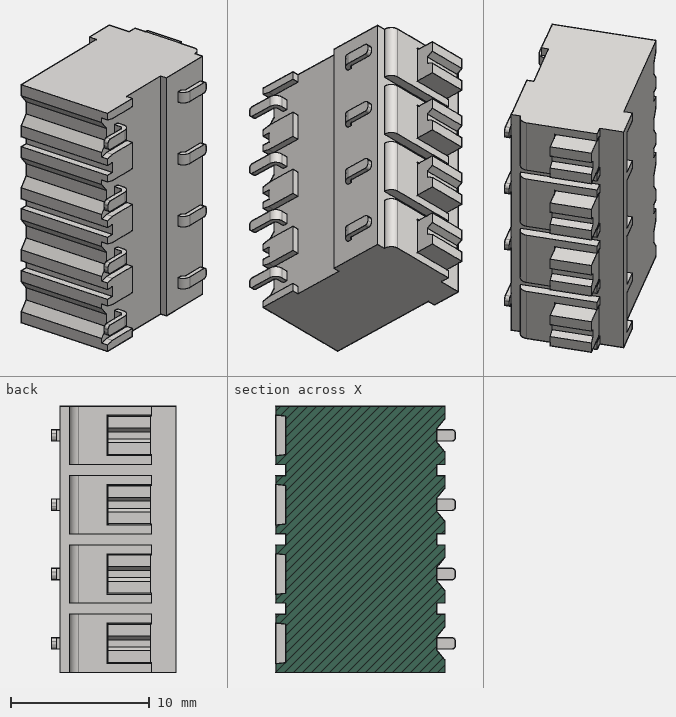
import cadquery as cq

height = 19.2
pole_count = 4
pole_height = 4.2
pole_pitch = (height - pole_height) / (pole_count - 1)
pole_gap = pole_pitch - pole_height
pole_centers = [pole_height / 2 + i * pole_pitch for i in range(pole_count)]
gap_centers = [(i + 1) * pole_pitch - pole_gap / 2 for i in range(pole_count - 1)]

wall_x = 0.63
right_x = 8.4
back_y = 11.5

recess_x = 7.87
recess_start_y = 3.01
recess_end_y = 7.12

ledge_depth = 1.0
rib_depth = 2.42
rib_height = 0.71

rail_start_x = 1.79
rail_end_x = 7.68
rail_top_y = 12.21
rail_corner_radius = 0.63
rail_opening_base = 2.76
rail_opening_top = 2.92

button_start_x = 1.85
button_end_x = 4.92
button_clearance = 0.05
button_height = 2.73
button_top_y = 13.63
notch_depth = 0.5
notch_floor_height = 0.52
notch_mouth_height = 1.05

groove_depth = 0.6
groove_floor_height = 0.98
groove_mouth_height = 2.42

opening_height = 2.88
opening_mouth_height = 3.15

pin_outer_x = 9.0
pin_thickness = 0.36
pin_width = 0.85
pin_tip_radius = 0.29
pin_bend_radius = pin_outer_x - right_x
pin_root = 0.38
front_pin_leg_y = 1.9
front_pin_tip_y = -0.75
back_pin_leg_y = 8.52
back_pin_tip_y = 11.12


def block(x_range, y_range, z_range):
    """Box between two limits along each axis."""
    spans = [high - low for low, high in (x_range, y_range, z_range)]
    corner = (x_range[0], y_range[0], z_range[0])
    return cq.Workplane("XY").box(*spans, centered=False).translate(corner)


def around(center, size):
    """Limits of a span of the given size about a center."""
    return (center - size / 2, center + size / 2)


def trapezoid_bar(x_range, z_center, start_y, start_height, end_y, end_height):
    """Bar along X whose Z height changes evenly from start_y to end_y."""
    start_low, start_high = around(z_center, start_height)
    end_low, end_high = around(z_center, end_height)
    outline = [(start_y, start_low), (end_y, end_low), (end_y, end_high), (start_y, start_high)]
    bar = cq.Workplane("YZ").polyline(outline).close().extrude(x_range[1] - x_range[0])
    return bar.translate((x_range[0], 0, 0))


def make_housing():
    """Main body with the ledge, ribs and rails, recessed across its +X face."""
    full_z = (0, height)
    housing = block((wall_x, right_x), (0, back_y), full_z)
    housing = housing.cut(block((recess_x, right_x), (recess_start_y, recess_end_y), full_z))
    housing = housing.union(block((0, wall_x), (back_y - ledge_depth, back_y), full_z))
    rib_centers = [rib_height / 2, *gap_centers, height - rib_height / 2]
    for z in rib_centers:
        housing = housing.union(block((0, wall_x), (back_y - rib_depth, back_y), around(z, rib_height)))
    for z in pole_centers:
        housing = housing.union(make_rails(z))
    return housing


def make_rails(z):
    """Rails around a tapered opening that ends just past the button, with a rounded +X corner."""
    x_range = (rail_start_x, rail_end_x)
    rails = block(x_range, (back_y, rail_top_y), around(z, pole_height))
    rails = rails.edges(">X and >Y").fillet(rail_corner_radius)
    opening_x = (rail_start_x, button_end_x + button_clearance)
    opening = trapezoid_bar(opening_x, z, back_y, rail_opening_base, rail_top_y, rail_opening_top)
    return rails.cut(opening)


def make_button(z):
    """Push button standing between the rails."""
    x_range = (button_start_x, button_end_x)
    button = block(x_range, (back_y, button_top_y), around(z, button_height))
    notch = trapezoid_bar(
        x_range, z, button_top_y - notch_depth, notch_floor_height, button_top_y, notch_mouth_height
    )
    return button.cut(notch)


def make_pole_cutter(z):
    """Flared groove along X with the pin opening at its +X end."""
    groove = trapezoid_bar((wall_x, right_x), z, 0, groove_mouth_height, groove_depth, groove_floor_height)
    pin_x = (recess_x, right_x)
    mouth = trapezoid_bar(pin_x, z, 0, opening_mouth_height, groove_depth, opening_height)
    passage = block(pin_x, (groove_depth, recess_start_y), around(z, opening_height))
    return groove.union(mouth).union(passage)


def make_gap_cutter(z):
    """Square groove along X between two poles."""
    return block((wall_x, right_x), (0, groove_depth), around(z, pole_gap))


def make_pin(z, exit_x, leg_y, tip_y):
    """Flat pin leaving the housing along X and bent along Y, with a rounded tip."""
    turn = 1 if tip_y > leg_y else -1
    root_x = exit_x - pin_root
    inner_x = pin_outer_x - pin_thickness
    inner_leg_y = leg_y + turn * pin_thickness
    bend_x = pin_outer_x - pin_bend_radius
    bend_y = leg_y + turn * pin_bend_radius
    outer_radius = pin_bend_radius
    inner_radius = pin_bend_radius - pin_thickness
    pin = (
        cq.Workplane("XY")
        .moveTo(root_x, leg_y)
        .lineTo(bend_x, leg_y)
        .radiusArc((pin_outer_x, bend_y), -turn * outer_radius)
        .lineTo(pin_outer_x, tip_y)
        .lineTo(inner_x, tip_y)
        .lineTo(inner_x, bend_y)
        .radiusArc((bend_x, inner_leg_y), turn * inner_radius)
        .lineTo(root_x, inner_leg_y)
        .close()
        .extrude(pin_width)
        .translate((0, 0, z - pin_width / 2))
    )
    tip_side = ">Y" if turn > 0 else "<Y"
    return pin.faces(tip_side).edges("|X").fillet(pin_tip_radius)


result = make_housing()
for gap_z in gap_centers:
    result = result.cut(make_gap_cutter(gap_z))
for pole_z in pole_centers:
    result = result.cut(make_pole_cutter(pole_z))
    result = result.union(make_button(pole_z))
    result = result.union(make_pin(pole_z, recess_x, front_pin_leg_y, front_pin_tip_y))
    result = result.union(make_pin(pole_z, right_x, back_pin_leg_y, back_pin_tip_y))